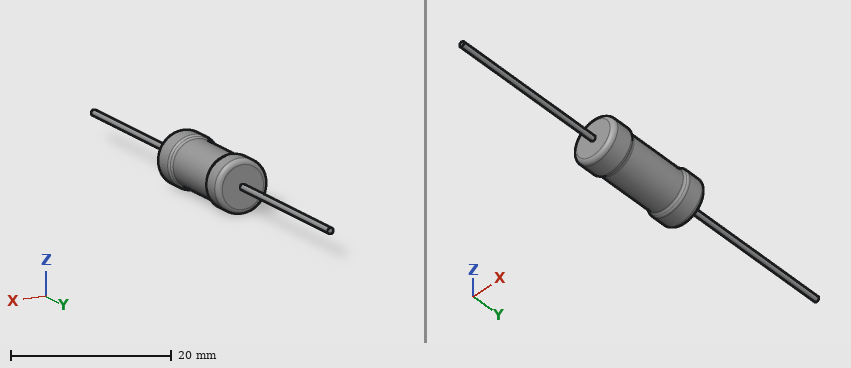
import cadquery as cq
import math

overall_length = 63.7
body_length = 16.5
cap_diameter = 7.2
waist_diameter = 6.5
waist_length = 8.85
waist_offset = 0.1
shoulder_length = 0.8
end_fillet = 0.7
lead_diameter = 0.8

half_body = body_length / 2
front_waist = waist_offset - waist_length / 2
back_waist = waist_offset + waist_length / 2
cap_radius = cap_diameter / 2
waist_radius = waist_diameter / 2
front_cap_start = front_waist - shoulder_length
back_cap_start = back_waist + shoulder_length
fillet_start = half_body - end_fillet
face_radius = cap_radius - end_fillet
shoulder_middle_radius = (waist_radius + cap_radius) / 2
front_shoulder_middle = front_waist - shoulder_length / 2
back_shoulder_middle = back_waist + shoulder_length / 2
fillet_middle_offset = end_fillet * math.sqrt(0.5)
fillet_middle_radius = face_radius + fillet_middle_offset
fillet_middle = fillet_start + fillet_middle_offset
lead_length = (overall_length - body_length) / 2


def make_body():
    """Resistor body: a waist flared by smooth shoulders into two rounded end bulges."""
    profile = (
        cq.Workplane("XY")
        .moveTo(0, -half_body)
        .lineTo(face_radius, -half_body)
        .threePointArc((fillet_middle_radius, -fillet_middle), (cap_radius, -fillet_start))
        .lineTo(cap_radius, front_cap_start)
        .tangentArcPoint((shoulder_middle_radius, front_shoulder_middle), relative=False)
        .tangentArcPoint((waist_radius, front_waist), relative=False)
        .lineTo(waist_radius, back_waist)
        .tangentArcPoint((shoulder_middle_radius, back_shoulder_middle), relative=False)
        .tangentArcPoint((cap_radius, back_cap_start), relative=False)
        .lineTo(cap_radius, fillet_start)
        .threePointArc((fillet_middle_radius, fillet_middle), (face_radius, half_body))
        .lineTo(0, half_body)
        .close()
    )
    return profile.revolve(360, (0, 0), (0, 1))


def make_lead(side):
    """Straight wire butted against the body's end face; side is -1 or +1 along Y."""
    end_face = cq.Plane(origin=(0, side * half_body, 0), xDir=(1, 0, 0), normal=(0, side, 0))
    return cq.Workplane(end_face).circle(lead_diameter / 2).extrude(lead_length)


body = make_body()
leads = [make_lead(side) for side in (-1, 1)]

result = cq.Compound.makeCompound([body.val(), *[lead.val() for lead in leads]])